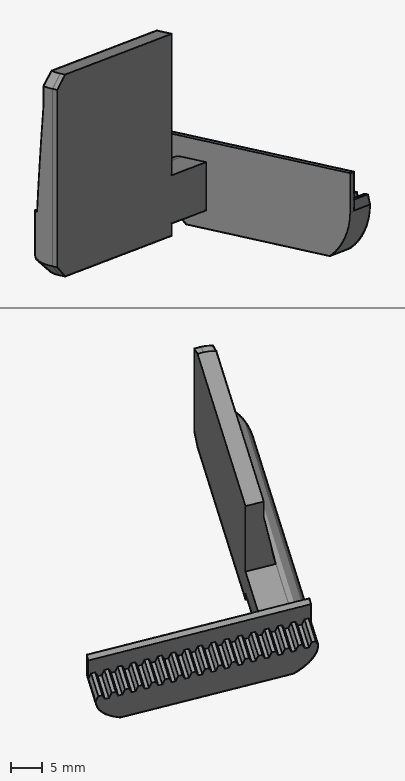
import cadquery as cq
import math

total_length = 44.25
base_width = 36.73

base_front = 39.0
plate_thickness = 1.05
plate_top = 14.5
root_height = 8.05
base_side_radius = 10.0
base_bottom_inset = 4.05
tooth_count = 17
tooth_height = 1.6
tooth_foot = 1.55
tooth_crest = 0.65

arm_width = 8.0
arm_bottom = 3.05
arm_top = 11.05
arm_edge_radius = 3.0
nose_radius = 7.0

fin_bottom = 1.0
fin_top = 34.5
fin_length = 30.05
fin_thickness = 3.0
fin_taper_top = 29.05
fin_foot_x = arm_edge_radius
fin_nose_chamfer = 2.05


def extrude_along_y(sketch, y_start, y_end):
    """Extrude a closed XZ sketch between two Y positions."""
    return sketch.extrude(y_start - y_end).translate((0, y_start, 0))


def base_outline(top):
    """Base cross-section with flat bottom, round lower sides and a given top."""
    arc_angle = math.acos(1 - base_bottom_inset / base_side_radius)
    mid_inset = base_side_radius * (1 - math.cos(arc_angle / 2))
    mid_height = root_height - base_side_radius * math.sin(arc_angle / 2)
    return (
        cq.Workplane("XZ")
        .moveTo(0, top)
        .lineTo(0, root_height)
        .threePointArc((mid_inset, mid_height), (base_bottom_inset, 0))
        .lineTo(base_width - base_bottom_inset, 0)
        .threePointArc((base_width - mid_inset, mid_height), (base_width, root_height))
        .lineTo(base_width, top)
        .close()
    )


def toothed_base():
    """Plate backed by a block whose top carries a row of trapezoidal teeth."""
    plate = extrude_along_y(base_outline(plate_top), base_front, base_front + plate_thickness)
    tooth_pitch = (base_width - tooth_foot) / (tooth_count - 1)
    flank = (tooth_foot - tooth_crest) / 2
    outline = cq.Workplane("XZ").moveTo(0, root_height)
    for index in range(tooth_count):
        start = index * tooth_pitch
        outline = (
            outline.lineTo(start + flank, root_height + tooth_height)
            .lineTo(start + flank + tooth_crest, root_height + tooth_height)
            .lineTo(start + tooth_foot, root_height)
        )
        if index < tooth_count - 1:
            outline = outline.lineTo(start + tooth_pitch, root_height)
    rack = extrude_along_y(outline.lineTo(base_width, 0).lineTo(0, 0).close(), base_front, total_length)
    rounded_sides = extrude_along_y(base_outline(plate_top), base_front, total_length)
    return plate.union(rack.intersect(rounded_sides))


def arm():
    """Bar with rounded outer edges, kept within the side curve of the base."""
    bar = (
        cq.Workplane("XY")
        .box(arm_width, base_front, arm_top - arm_bottom, centered=False)
        .translate((0, 0, arm_bottom))
        .edges("|Y and <X")
        .fillet(arm_edge_radius)
    )
    return bar.intersect(extrude_along_y(base_outline(plate_top), 0, base_front))


def fin():
    """Upright blade, thickened towards the arm and bevelled below it."""
    upper_x = arm_width - fin_thickness
    return extrude_along_y(
        cq.Workplane("XZ").polyline([
            (arm_width, fin_bottom),
            (upper_x, fin_bottom),
            (fin_foot_x, arm_bottom),
            (fin_foot_x, arm_top),
            (upper_x, fin_taper_top),
            (upper_x, fin_top),
            (arm_width, fin_top),
        ]).close(),
        0,
        fin_length,
    )


def rounded_nose_envelope():
    """Upright prism that rounds the nose of the arm and fin and chamfers its ends."""
    return (
        cq.Workplane("XY")
        .box(arm_width, base_front, fin_top - fin_bottom, centered=False)
        .translate((0, 0, fin_bottom))
        .edges("|Z and <X and <Y")
        .fillet(nose_radius)
        .edges("|X and <Y")
        .chamfer(fin_nose_chamfer)
    )


handle = arm().union(fin()).intersect(rounded_nose_envelope())
result = toothed_base().union(handle)